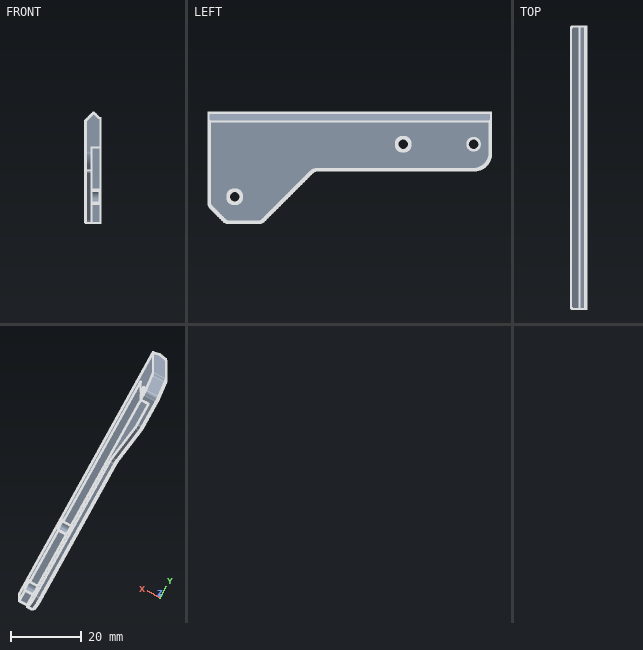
import cadquery as cq
THICKNESS = 4.5
LENGTH = 80.5
HEIGHT = 31.5

ARM_BOTTOM = 15.0
CORNER = 5.0
FOOT_START = 65.4
BEND_RADIUS = 2.0
EDGE_CHAMFER = 0.4

RIDGE_X = 2.5
BACK_BEVEL = 1.5

WEB_THICKNESS = 1.9
RIB_BOTTOM = 21.5

HOLE_DIAMETER = 3.4
HOLE_RADIUS = HOLE_DIAMETER / 2
COUNTERSINK = 0.4
MOUTH_RADIUS = HOLE_RADIUS + COUNTERSINK
ARM_HOLE_Z = 22.45
FOOT_HOLE = (73.0, 7.5)
ARM_HOLE = (25.0, ARM_HOLE_Z)
TIP_HOLE = (CORNER, ARM_HOLE_Z)


def round_edge(plate, corner, radius):
    """Fillet the through-thickness edge at the outline corner (y, z)."""
    middle = (THICKNESS / 2, *corner)
    return plate.edges(cq.NearestToPointSelector(middle)).fillet(radius)


def make_plate():
    """Full-thickness plate with a level arm and a foot at the +Y end."""
    elbow_y = FOOT_START - ARM_BOTTOM
    plate = (
        cq.Workplane("YZ")
        .moveTo(0, HEIGHT)
        .lineTo(0, ARM_BOTTOM)
        .lineTo(elbow_y, ARM_BOTTOM)
        .lineTo(FOOT_START, 0)
        .lineTo(LENGTH - CORNER, 0)
        .lineTo(LENGTH, CORNER)
        .lineTo(LENGTH, HEIGHT)
        .close()
        .extrude(THICKNESS)
    )
    plate = round_edge(plate, (0, ARM_BOTTOM), CORNER)
    bends = [(elbow_y, ARM_BOTTOM), (FOOT_START, 0), (LENGTH - CORNER, 0), (LENGTH, CORNER)]
    for bend in bends:
        plate = round_edge(plate, bend, BEND_RADIUS)
    return plate.faces("<X").chamfer(EDGE_CHAMFER)


def make_ridge_envelope():
    """Thickness profile with a 45 degree ridge along the top edge."""
    return (
        cq.Workplane("XZ")
        .moveTo(0, 0)
        .lineTo(THICKNESS, 0)
        .lineTo(THICKNESS, HEIGHT - BACK_BEVEL)
        .lineTo(RIDGE_X + BACK_BEVEL, HEIGHT - BACK_BEVEL)
        .lineTo(RIDGE_X, HEIGHT)
        .lineTo(0, HEIGHT - RIDGE_X)
        .close()
        .extrude(-LENGTH)
    )


def make_relief():
    """Block that thins the web from the +X side up to the foot hole's axis."""
    return cq.Workplane("XY").box(
        THICKNESS - WEB_THICKNESS, FOOT_HOLE[0], RIB_BOTTOM, centered=False
    ).translate((WEB_THICKNESS, 0, 0))


def make_hole(position):
    """Through hole along X at the position (y, z)."""
    return cq.Workplane("YZ").center(*position).circle(HOLE_RADIUS).extrude(THICKNESS)


def make_countersink(position, face_x, depth):
    """45 degree cone that opens at face_x; depth is signed along X into the part."""
    return (
        cq.Workplane("YZ", origin=(face_x, 0, 0))
        .center(*position)
        .circle(MOUTH_RADIUS)
        .workplane(offset=depth)
        .circle(HOLE_RADIUS)
        .loft()
    )


def make_notch_bevel():
    """45 degree bevels where the relief wall cuts the foot hole open."""
    wall_y, hole_z = FOOT_HOLE
    return (
        cq.Workplane("YZ", origin=(WEB_THICKNESS, 0, 0))
        .moveTo(wall_y, hole_z - MOUTH_RADIUS)
        .lineTo(wall_y, hole_z + MOUTH_RADIUS)
        .lineTo(wall_y + COUNTERSINK, hole_z + HOLE_RADIUS)
        .lineTo(wall_y + COUNTERSINK, hole_z - HOLE_RADIUS)
        .close()
        .extrude(THICKNESS - WEB_THICKNESS)
    )


result = make_plate().intersect(make_ridge_envelope()).cut(make_relief())

for hole in (FOOT_HOLE, ARM_HOLE, TIP_HOLE):
    result = result.cut(make_hole(hole))

for hole in (FOOT_HOLE, ARM_HOLE):
    result = result.cut(make_countersink(hole, 0, COUNTERSINK))

result = result.cut(make_countersink(FOOT_HOLE, THICKNESS, -COUNTERSINK))
result = result.cut(make_notch_bevel())